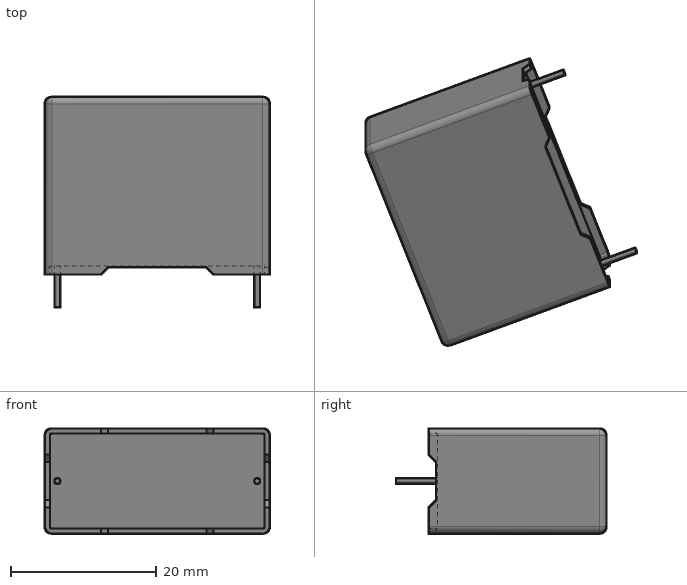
import cadquery as cq

width = 31.0
height = 14.5
case_length = 24.5
edge_radius = 1.0
wall = 0.7
recess_corner_radius = edge_radius - wall
recess_depth = 1.2
notch_depth = 1.0
wide_notch = width / 2
narrow_notch = height / 2
lead_diameter = 0.8
lead_spacing = 27.5
lead_projection = 4.5

rim_y = 0.0
floor_y = rim_y + recess_depth


def notch_cutter(plane, mouth, through):
    """Trapezoid narrowing away from the rim, centred and cut through both opposite walls."""
    half_mouth = mouth / 2
    half_base = half_mouth - notch_depth
    bottom_y = rim_y + notch_depth
    return (
        cq.Workplane(plane)
        .polyline([
            (-half_mouth, rim_y),
            (half_mouth, rim_y),
            (half_base, bottom_y),
            (-half_base, bottom_y),
        ])
        .close()
        .extrude(through / 2, both=True)
    )


def make_case():
    """Rounded block with a shallow recess and a notched rim."""
    block = cq.Workplane("XY").box(width, case_length, height, centered=(True, False, True))
    block = block.edges("|Y or >Y").fillet(edge_radius)
    recess = cq.Workplane("XY").box(
        width - 2 * wall, recess_depth, height - 2 * wall, centered=(True, False, True)
    )
    recess = recess.edges("|Y").fillet(recess_corner_radius)
    top_bottom_notch = notch_cutter("XY", wide_notch, height)
    side_plane = cq.Plane(origin=(0, 0, 0), xDir=(0, 0, 1), normal=(-1, 0, 0))
    side_notch = notch_cutter(side_plane, narrow_notch, width)
    return block.cut(recess).cut(top_bottom_notch).cut(side_notch)


def make_lead(x):
    """Round wire lead standing on the recess floor and pointing toward -Y."""
    return (
        cq.Workplane("XZ", origin=(x, floor_y, 0))
        .circle(lead_diameter / 2)
        .extrude(recess_depth + lead_projection)
    )


case = make_case()
leads = [make_lead(side * lead_spacing / 2) for side in (-1, 1)]

result = cq.Compound.makeCompound([case.val(), *[lead.val() for lead in leads]])